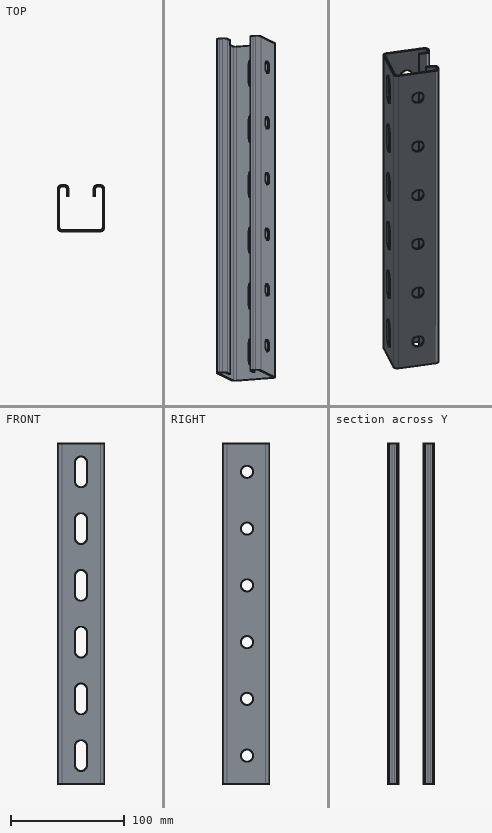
import cadquery as cq

length = 300
width = 41.0
depth = 41.0
wall = 1.5
outer_bend = 3.5
inner_bend = outer_bend - wall

lip_width = 9.5
lip_depth = 10.2

hole_count = 6
pitch = length / hole_count
hole_diameter = 10.5
hole_offset_y = 1.0
slot_width = hole_diameter
slot_length = 27.0

row_heights = [(i - (hole_count - 1) / 2) * pitch for i in range(hole_count)]


def bent_tube(tube_width):
    """Rectangular tube of full depth and length with rounded bends."""
    outside = cq.Workplane("XY").box(tube_width, depth, length).edges("|Z").fillet(outer_bend)
    inside = cq.Workplane("XY").box(tube_width - 2 * wall, depth - 2 * wall, length)
    return outside.cut(inside.edges("|Z").fillet(inner_bend))


def make_channel():
    """Bent-sheet channel with lips, open towards +Y."""
    lip_zone = cq.Workplane("XY").box(width, lip_depth, length)
    lip_zone = lip_zone.translate((0, (depth - lip_depth) / 2, 0))

    channel = bent_tube(width).cut(lip_zone)
    lip = bent_tube(lip_width).intersect(lip_zone)
    lip_x = (width - lip_width) / 2
    for x in (-lip_x, lip_x):
        channel = channel.union(lip.translate((x, 0, 0)))
    return channel.clean()


def back_slots():
    """Round-ended vertical slots through the back wall only."""
    return (
        cq.Workplane("XZ", origin=(0, -depth / 2 + wall, 0))
        .pushPoints([(0, height) for height in row_heights])
        .slot2D(slot_length, slot_width, 90)
        .extrude(wall)
    )


def side_holes():
    """Round holes through both side walls."""
    return (
        cq.Workplane("YZ")
        .pushPoints([(hole_offset_y, height) for height in row_heights])
        .circle(hole_diameter / 2)
        .extrude(width / 2, both=True)
    )


result = make_channel().cut(back_slots()).cut(side_holes())